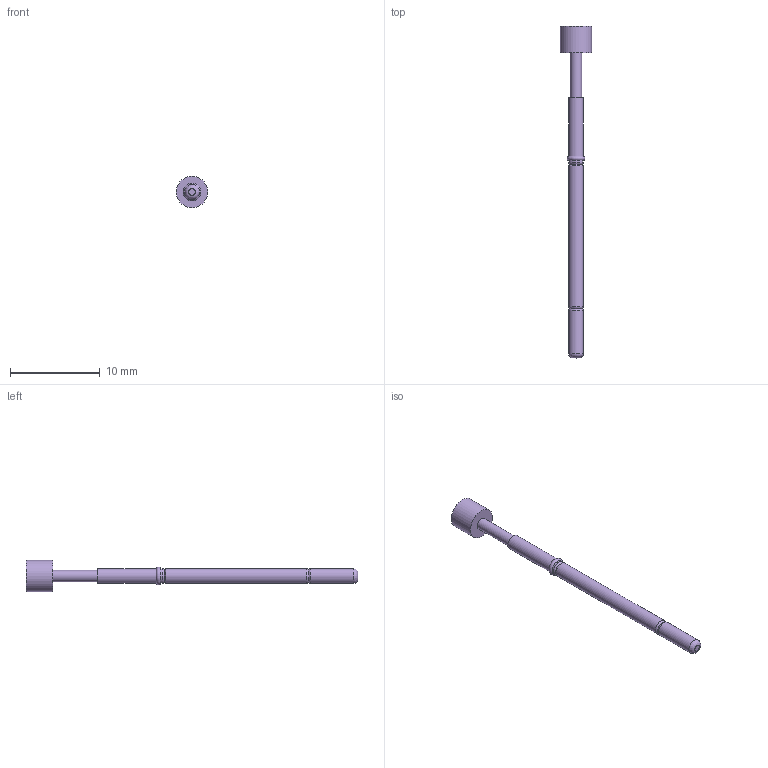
import cadquery as cq

total_length = 37.0

head_diameter = 3.5
head_length = 3.0
stem_diameter = 1.3
stem_length = 5.0

barrel_diameter = 1.67
tail_fillet = 0.47

ring_diameter = 2.0
bead_radius = 0.25
ring_station = total_length - 14.75

groove_depth = 0.14
shoulder_length = 0.23
crimp_station = 5.5
ring_groove_station = total_length - 15.43
ring_groove_cone_length = 0.12

head_radius = head_diameter / 2
stem_radius = stem_diameter / 2
barrel_radius = barrel_diameter / 2
groove_bottom_radius = barrel_radius - groove_depth
shoulder_radius = (shoulder_length**2 + groove_depth**2) / (2 * groove_depth)
head_base = total_length - head_length
barrel_end = head_base - stem_length


def cylinder(radius, start, end):
    """Solid cylinder on the Y axis between two stations."""
    return cq.Workplane("XZ", origin=(0, end, 0)).circle(radius).extrude(end - start)


def spin(profile):
    """Revolve a closed XY profile a full turn about the Y axis."""
    return profile.revolve(360, (0, 0, 0), (0, 1, 0))


def make_plunger():
    """Head and the slimmer stem that slides in the barrel."""
    head = cylinder(head_radius, head_base, total_length)
    stem = cylinder(stem_radius, barrel_end, head_base)
    return head.union(stem)


def make_barrel():
    """Plain barrel with its tail end rounded."""
    return cylinder(barrel_radius, 0, barrel_end).faces("<Y").edges().fillet(tail_fillet)


def make_press_ring():
    """Toroidal bead that stands proud of the barrel."""
    bead_centre_radius = ring_diameter / 2 - bead_radius
    profile = (
        cq.Workplane("XY")
        .moveTo(bead_centre_radius, ring_station - bead_radius)
        .threePointArc((ring_diameter / 2, ring_station), (bead_centre_radius, ring_station + bead_radius))
        .close()
    )
    return spin(profile)


def make_crimp_cutter():
    """Groove with a rounded shoulder on each side of its sharp bottom."""
    profile = (
        cq.Workplane("XY")
        .moveTo(barrel_radius, crimp_station + shoulder_length)
        .radiusArc((groove_bottom_radius, crimp_station), shoulder_radius)
        .radiusArc((barrel_radius, crimp_station - shoulder_length), shoulder_radius)
        .close()
    )
    return spin(profile)


def make_ring_groove_cutter():
    """Groove with a rounded shoulder on the head side and a cone on the tail side."""
    profile = (
        cq.Workplane("XY")
        .moveTo(barrel_radius, ring_groove_station + shoulder_length)
        .radiusArc((groove_bottom_radius, ring_groove_station), shoulder_radius)
        .lineTo(barrel_radius, ring_groove_station - ring_groove_cone_length)
        .close()
    )
    return spin(profile)


barrel = make_barrel().union(make_press_ring())
barrel = barrel.cut(make_crimp_cutter()).cut(make_ring_groove_cutter())
result = make_plunger().union(barrel)